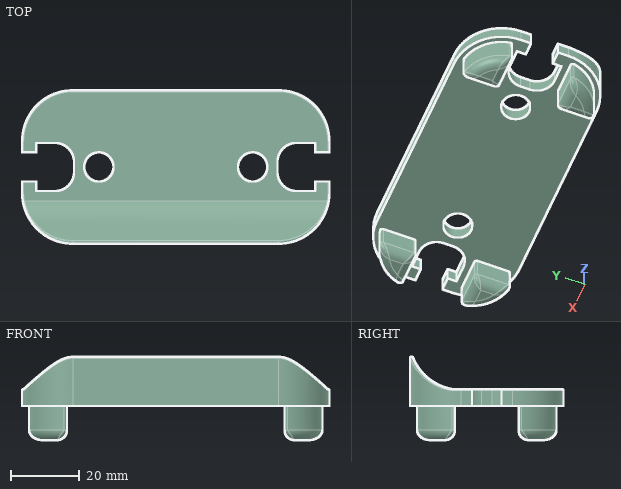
import cadquery as cq
import math

LENGTH = 90.0
WIDTH = 45.0
CORNER_RADIUS = 15.0
PLATE_THICKNESS = 5.0
EDGE_ROUND = 0.5

FLARE_RADIUS = 15.0
FLARE_START_Y = -10.0
FLARE_CENTRE_Y = -7.64
FLARE_CENTRE_Z = PLATE_THICKNESS + math.sqrt(FLARE_RADIUS**2 - (FLARE_CENTRE_Y - FLARE_START_Y) ** 2)

HOLE_DIAMETER = 8.5
HOLE_SPACING = 45.0

SLOT_DEPTH = 15.2
POCKET_WIDTH = 14.0
POCKET_CORNER_RADIUS = 5.5
MOUTH_WIDTH = 8.5
MOUTH_DEPTH = 4.2

FOOT_INSET = 1.8
FOOT_RADIUS = CORNER_RADIUS - FOOT_INSET
FOOT_FLAT_OFFSET = 1.8
FOOT_HEIGHT = 10.0
FOOT_SIDE_ROUND = 0.7
FOOT_BOTTOM_ROUND = 3.0


def make_core():
    """Plate and lip shrunk by EDGE_ROUND on every outer side, with sharp edges."""
    core_length = LENGTH - 2 * EDGE_ROUND
    core_width = WIDTH - 2 * EDGE_ROUND
    core_top = PLATE_THICKNESS - EDGE_ROUND
    core_bottom = -2 * EDGE_ROUND
    arc_radius = FLARE_RADIUS + EDGE_ROUND
    back_y = core_width / 2
    wall_y = -back_y

    start_angle = math.asin((FLARE_CENTRE_Z - core_top) / arc_radius)
    crest_angle = math.acos((FLARE_CENTRE_Y - wall_y) / arc_radius)

    def flare_point(angle):
        return (
            FLARE_CENTRE_Y - arc_radius * math.cos(angle),
            FLARE_CENTRE_Z - arc_radius * math.sin(angle),
        )

    section = (
        cq.Workplane("YZ")
        .moveTo(wall_y, core_bottom)
        .lineTo(*flare_point(crest_angle))
        .threePointArc(flare_point((crest_angle + start_angle) / 2), flare_point(start_angle))
        .lineTo(back_y, core_top)
        .lineTo(back_y, core_bottom)
        .close()
        .extrude(core_length / 2, both=True)
    )
    outline = (
        cq.Workplane("XY", origin=(0, 0, core_bottom))
        .rect(core_length, core_width)
        .extrude(FLARE_CENTRE_Z - core_bottom)
        .edges("|Z")
        .fillet(CORNER_RADIUS - EDGE_ROUND)
    )
    return section.intersect(outline)


def make_body():
    """Plate with lip: the core grown by EDGE_ROUND, which rounds its upper rim, cut flat at Z = 0."""
    core = make_core()
    grown = core.union(core.shell(EDGE_ROUND))
    above_ground = (
        cq.Workplane("XY")
        .rect(2 * LENGTH, 2 * WIDTH)
        .extrude(FLARE_CENTRE_Z)
    )
    return grown.intersect(above_ground)


def make_holes():
    """Two round through holes on the long axis."""
    return (
        cq.Workplane("XY")
        .pushPoints([(-HOLE_SPACING / 2, 0), (HOLE_SPACING / 2, 0)])
        .circle(HOLE_DIAMETER / 2)
        .extrude(PLATE_THICKNESS)
    )


def make_left_slot():
    """T-shaped through slot in the -X end, its inner corners rounded."""
    end_x = -LENGTH / 2
    pocket_length = SLOT_DEPTH - MOUTH_DEPTH
    pocket = (
        cq.Workplane("XY")
        .center(end_x + MOUTH_DEPTH + pocket_length / 2, 0)
        .rect(pocket_length, POCKET_WIDTH)
        .extrude(PLATE_THICKNESS)
        .edges("|Z and >X")
        .fillet(POCKET_CORNER_RADIUS)
    )
    mouth = (
        cq.Workplane("XY")
        .center(end_x + MOUTH_DEPTH / 2, 0)
        .rect(2 * MOUTH_DEPTH, MOUTH_WIDTH)
        .extrude(PLATE_THICKNESS)
    )
    return pocket.union(mouth)


def make_foot():
    """Foot under the (-X, -Y) corner: two flat sides facing inwards, one round side outwards."""
    arc_centre_x = CORNER_RADIUS - LENGTH / 2
    arc_centre_y = CORNER_RADIUS - WIDTH / 2
    flat_end = math.sqrt(FOOT_RADIUS**2 - FOOT_FLAT_OFFSET**2)
    diagonal = FOOT_RADIUS * math.sqrt(0.5)
    return (
        cq.Workplane("XY", origin=(arc_centre_x, arc_centre_y, 0))
        .moveTo(-FOOT_FLAT_OFFSET, -FOOT_FLAT_OFFSET)
        .lineTo(-flat_end, -FOOT_FLAT_OFFSET)
        .threePointArc((-diagonal, -diagonal), (-FOOT_FLAT_OFFSET, -flat_end))
        .close()
        .extrude(-FOOT_HEIGHT)
        .edges("|Z")
        .fillet(FOOT_SIDE_ROUND)
        .faces("<Z")
        .edges()
        .fillet(FOOT_BOTTOM_ROUND)
    )


left_slot = make_left_slot()
left_foot = make_foot()
left_feet = left_foot.union(left_foot.mirror("XZ"))

result = (
    make_body()
    .cut(make_holes())
    .cut(left_slot)
    .cut(left_slot.mirror("YZ"))
    .union(left_feet)
    .union(left_feet.mirror("YZ"))
)